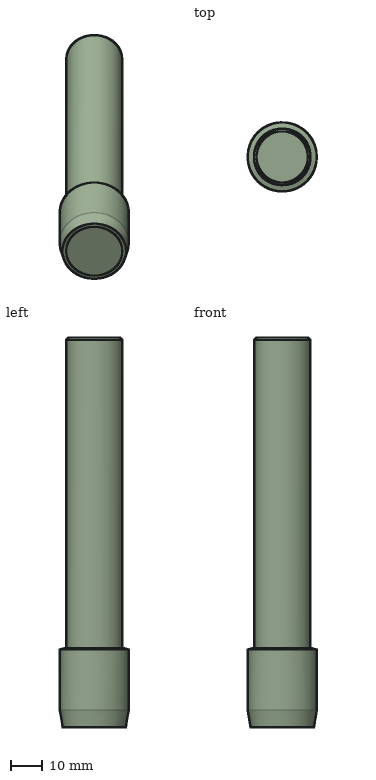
import cadquery as cq
import math

pin_radius = 9.0
pin_length = 125.0
pin_chamfer = 0.8

sleeve_radius = 22.225 / 2
sleeve_height = 25.5
bore_chamfer = 0.1
top_slope_angle = 15.0
lead_in_height = 5.5
lead_in_angle = 9.5

mouth_radius = pin_radius + bore_chamfer
rim_height = sleeve_height - (sleeve_radius - mouth_radius) * math.tan(math.radians(top_slope_angle))
bottom_radius = sleeve_radius - lead_in_height * math.tan(math.radians(lead_in_angle))


def make_pin():
    """Plain round pin with a chamfered top edge."""
    pin = cq.Workplane("XY").circle(pin_radius).extrude(pin_length)
    return pin.faces(">Z").edges().chamfer(pin_chamfer)


def make_sleeve():
    """Half section of the sleeve, from the bore outward, revolved around Z."""
    section = (
        cq.Workplane("XZ")
        .moveTo(pin_radius, 0)
        .lineTo(bottom_radius, 0)
        .lineTo(sleeve_radius, lead_in_height)
        .lineTo(sleeve_radius, rim_height)
        .lineTo(mouth_radius, sleeve_height)
        .lineTo(pin_radius, sleeve_height - bore_chamfer)
        .close()
    )
    return section.revolve(360, (0, 0), (0, 1))


pin = make_pin()
sleeve = make_sleeve()

result = cq.Compound.makeCompound([pin.val(), sleeve.val()])